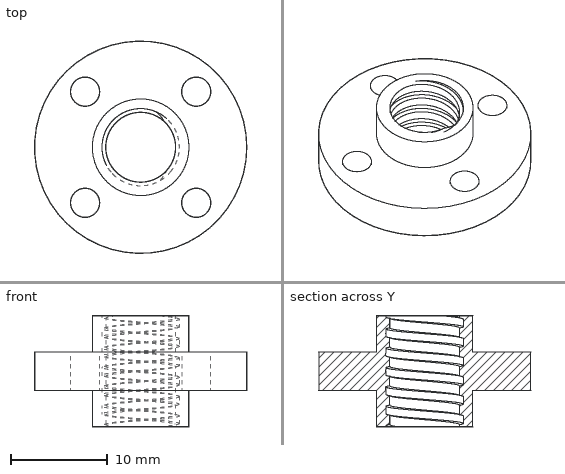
import cadquery as cq
import math

flange_diameter = 22
flange_thickness = 4.0
total_height = 11.5
hub_diameter = 10.0

bolt_hole_diameter = 3.0
bolt_hole_spacing = 11.5

thread_minor_diameter = 7.22
thread_major_diameter = 8.0
thread_pitch = 2.0
groove_mouth_width = thread_pitch / 2
flank_angle = 15
groove_exit_angle = 137
cutter_overlap = 0.22


def make_body():
    hub = cq.Workplane("XY").circle(hub_diameter / 2).extrude(total_height)
    flange = (
        cq.Workplane("XY")
        .workplane(offset=(total_height - flange_thickness) / 2)
        .circle(flange_diameter / 2)
        .extrude(flange_thickness)
    )
    bolt_holes = (
        cq.Workplane("XY")
        .rect(bolt_hole_spacing, bolt_hole_spacing, forConstruction=True)
        .vertices()
        .circle(bolt_hole_diameter / 2)
        .extrude(total_height)
    )
    return hub.union(flange).cut(bolt_holes)


def make_bore():
    return cq.Workplane("XY").circle(thread_minor_diameter / 2).extrude(total_height)


def make_thread_groove():
    """Helical cutter that runs out through both ends of the bore."""
    minor_radius = thread_minor_diameter / 2
    major_radius = thread_major_diameter / 2
    inner_radius = minor_radius - cutter_overlap
    mouth_half = groove_mouth_width / 2
    flank_slope = math.tan(math.radians(flank_angle))
    inner_half = mouth_half + cutter_overlap * flank_slope
    root_half = mouth_half - (major_radius - minor_radius) * flank_slope

    start_height = -thread_pitch
    helix_height = total_height + 2 * thread_pitch
    helix = cq.Wire.makeHelix(thread_pitch, helix_height, minor_radius)
    cutter = (
        cq.Workplane("XZ")
        .polyline([
            (inner_radius, -inner_half),
            (major_radius, -root_half),
            (major_radius, root_half),
            (inner_radius, inner_half),
        ])
        .close()
        .sweep(cq.Workplane(obj=helix), isFrenet=True)
    )
    angle_at_top = 360 * (total_height - start_height) / thread_pitch
    return (
        cutter.rotate((0, 0, 0), (0, 0, 1), groove_exit_angle - angle_at_top)
        .translate((0, 0, start_height))
    )


result = make_body().cut(make_thread_groove()).cut(make_bore())